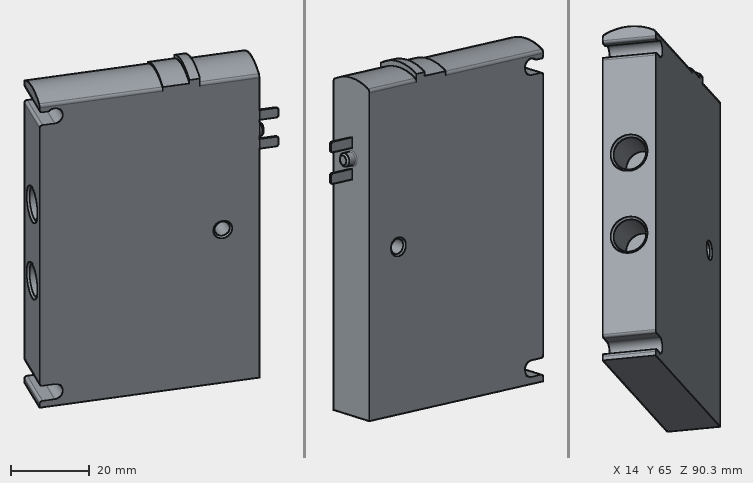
import cadquery as cq
import math

WIDTH = 14.0
DEPTH = 58.0
HALF_WIDTH = WIDTH / 2

CROWN_RADIUS = 14.5
CAP_TOP = 88.9
BAND_TOP = 89.35
COLLAR_TOP = 90.35
CAP_EDGE_RADIUS = 1.0
BAND_FRONT = 32.5
COLLAR_FRONT = 39.5
COLLAR_BACK = 42.3

NOTCH_DEPTH = 6.1
NOTCH_EYE_DIAMETER = 4.35
NOTCH_LIP_RADIUS = 0.75
LOWER_NOTCH_FLOOR = 1.9
UPPER_NOTCH_FLOOR = 81.35
UPPER_NOTCH_ROOF = 85.05

BORE_CHAMFER_ANGLE = 45

PORT_DIAMETER = 8.57
PORT_CHAMFER = 0.6
PORT_DEPTH = 12.0
PORT_HEIGHTS = (33.0, 55.0)

CROSS_HOLE_DIAMETER = 4.0
CROSS_HOLE_CHAMFER = 0.5
CROSS_HOLE_Y = 48.3
CROSS_HOLE_Z = 44.15

CONNECTOR_Z = 67.7
BLADE_LENGTH = 7.0
BLADE_HEIGHT = 2.8
BLADE_THICKNESS = 0.5
BLADE_PITCH = 8.3
BLADE_TIP_CHAMFER = 0.5
STUD_DIAMETER = 3.6
STUD_LENGTH = 2.8
STUD_CHAMFER = 0.55
STUD_BASE_DIAMETER = 4.2


def crowned_block(top, y_front, y_back):
    """Full-width block with a crowned top, between two depths."""
    crown_drop = CROWN_RADIUS - math.sqrt(CROWN_RADIUS**2 - HALF_WIDTH**2)
    shoulder = top - crown_drop
    return (
        cq.Workplane("XZ", origin=(0, y_front, 0))
        .moveTo(-HALF_WIDTH, 0)
        .lineTo(HALF_WIDTH, 0)
        .lineTo(HALF_WIDTH, shoulder)
        .threePointArc((0, top), (-HALF_WIDTH, shoulder))
        .close()
        .extrude(y_front - y_back)
    )


def make_body():
    """Main block with rounded cap edges, plus the raised band and collar."""
    middle_height = CAP_TOP / 2
    upper_half = cq.selectors.BoxSelector((-WIDTH, 0, middle_height), (WIDTH, DEPTH, CAP_TOP))
    body = crowned_block(CAP_TOP, 0, DEPTH)
    body = body.edges("|Y").edges(upper_half).fillet(CAP_EDGE_RADIUS)
    band = crowned_block(BAND_TOP, BAND_FRONT, COLLAR_FRONT)
    collar = crowned_block(COLLAR_TOP, COLLAR_FRONT, COLLAR_BACK)
    return body.union(band).union(collar)


def make_notch(floor_z, roof_z):
    """Notch across the width: a round eye at the back and a straight mouth open to the front."""
    eye_radius = NOTCH_EYE_DIAMETER / 2
    eye_y = NOTCH_DEPTH - eye_radius
    eye = (
        cq.Workplane("YZ")
        .center(eye_y, floor_z + eye_radius)
        .circle(eye_radius)
        .extrude(HALF_WIDTH, both=True)
    )
    mouth = cq.Workplane("XY", origin=(0, 0, floor_z)).box(
        WIDTH, eye_y, roof_z - floor_z, centered=(True, False, False)
    )
    return eye.union(mouth)


def round_notch_lips(body, floor_z, roof_z):
    """Round the two front edges where a notch meets the front face."""
    for z in (floor_z, roof_z):
        lip = cq.selectors.NearestToPointSelector((0, 0, z))
        body = body.edges("|X").edges(lip).fillet(NOTCH_LIP_RADIUS)
    return body


def cut_notches(body):
    """The lower mouth is as tall as its eye; a lip narrows the upper one."""
    notches = (
        (LOWER_NOTCH_FLOOR, LOWER_NOTCH_FLOOR + NOTCH_EYE_DIAMETER),
        (UPPER_NOTCH_FLOOR, UPPER_NOTCH_ROOF),
    )
    for floor_z, roof_z in notches:
        body = body.cut(make_notch(floor_z, roof_z))
        body = round_notch_lips(body, floor_z, roof_z)
    return body


def bore_tool(plane, origin, diameter, length, chamfer):
    """Bore tool along the plane normal, flared by the chamfer at its origin end."""
    bore = cq.Workplane(plane, origin=origin).circle(diameter / 2).extrude(length)
    flare = (
        cq.Workplane(plane, origin=origin)
        .circle(diameter / 2 + chamfer)
        .extrude(math.copysign(chamfer, length), taper=BORE_CHAMFER_ANGLE)
    )
    return bore.union(flare)


def cut_ports(body):
    """Blind ports in the front face."""
    for z in PORT_HEIGHTS:
        port = bore_tool("XZ", (0, 0, z), PORT_DIAMETER, -PORT_DEPTH, PORT_CHAMFER)
        body = body.cut(port)
    return body


def cut_cross_hole(body):
    """Through hole bored to mid-width from each side, so both mouths are chamfered."""
    for side in (-1, 1):
        origin = (side * HALF_WIDTH, CROSS_HOLE_Y, CROSS_HOLE_Z)
        half_hole = bore_tool(
            "YZ", origin, CROSS_HOLE_DIAMETER, -side * HALF_WIDTH, CROSS_HOLE_CHAMFER
        )
        body = body.cut(half_hole)
    return body


def add_connector(body):
    """Two flat contact blades and, between them, a chamfered stud with a filleted root."""
    blade = (
        cq.Workplane("XY")
        .box(BLADE_THICKNESS, BLADE_LENGTH, BLADE_HEIGHT, centered=(True, False, True))
        .edges("|X and >Y")
        .chamfer(BLADE_TIP_CHAMFER)
    )
    for side in (-1, 1):
        blade_z = CONNECTOR_Z + side * BLADE_PITCH / 2
        body = body.union(blade.translate((0, DEPTH, blade_z)))
    stud = (
        cq.Workplane("XZ", origin=(0, DEPTH, CONNECTOR_Z))
        .circle(STUD_DIAMETER / 2)
        .extrude(-STUD_LENGTH)
        .faces(">Y")
        .chamfer(STUD_CHAMFER)
    )
    root_radius = (STUD_BASE_DIAMETER - STUD_DIAMETER) / 2
    body = body.union(stud)
    stud_root = cq.selectors.NearestToPointSelector((0, DEPTH, CONNECTOR_Z))
    return body.edges("%CIRCLE").edges(stud_root).fillet(root_radius)


body = make_body()
body = cut_notches(body)
body = cut_ports(body)
body = cut_cross_hole(body)
result = add_connector(body)